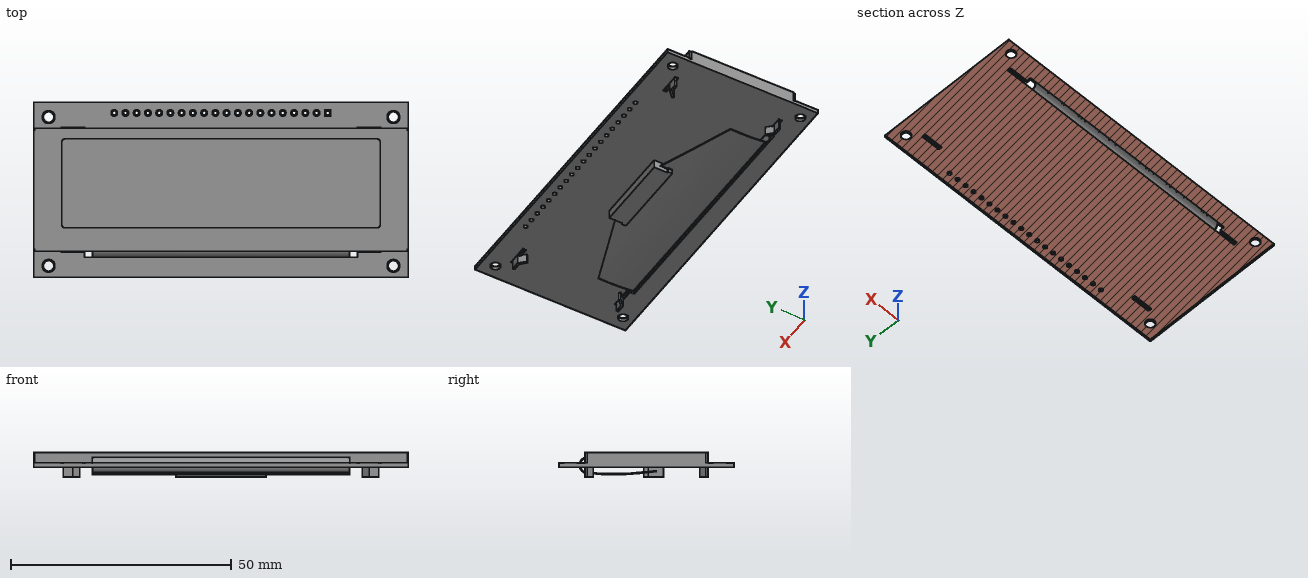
import cadquery as cq
import math


board_length = 85.0
board_width = 39.8
board_thickness = 1.0
pad_height = 0.03

mount_hole_diameter = 2.4
mount_pad_diameter = 2.9
mount_hole_x = 39.1
mount_hole_back_y = 16.5
mount_hole_front_y = -17.25

pin_count = 20
pin_pitch = 2.55
pin_row_y = 17.4
pin_hole_diameter = 0.9
pin_pad_size = 1.45

bezel_width = 28.0
bezel_height = 2.4
sheet = 0.5
corner_step = 0.25
window_length = 72.25
window_width = 20.2
window_center_y = 1.45
window_depth = 0.5
window_corner_radius = 0.85

tab_center_x = 33.6
tab_half_length = 2.2
tab_drop = 2.2
tab_twist = math.radians(45)
tab_slot_length = 5.3
tab_slot_clearance = 0.2

flex_width = 58.3
flex_thickness = 0.21
flex_root_z = 1.3
flex_fold_y = -15.2
flex_fold_z = -0.5
flex_return_z = -2.3
flex_sag_z = -2.6
flex_sag_start_y = -10.2
flex_taper_start_y = -4.8
flex_tip_y = 2.3
flex_tip_z = -1.95
flex_tip_width = 18.7
flex_slot_front_y = -15.3

connector_length = 20.5
connector_front_y = -0.7
connector_step_y = 0.4
connector_back_y = 3.9
connector_step_inset = 0.3

wall_y = bezel_width / 2
board_bottom_z = -board_thickness
bottom_z = board_bottom_z - tab_drop
tab_slot_width = sheet + 2 * tab_slot_clearance
tab_slot_y = wall_y - sheet / 2
flex_slot_length = 2 * tab_center_x - tab_slot_length


def block(x_range, y_range, z_range):
    """Rectangular block between the given limits."""
    (x0, x1), (y0, y1), (z0, z1) = x_range, y_range, z_range
    return cq.Workplane("XY").box(x1 - x0, y1 - y0, z1 - z0, centered=False).translate((x0, y0, z0))


def drill(points, diameter):
    """Cutters for holes through the board and its pads."""
    cutter = cq.Workplane("XY", origin=(0, 0, board_bottom_z)).pushPoints(points)
    return cutter.circle(diameter / 2).extrude(board_thickness + pad_height)


def make_slots():
    """Four tab slots, and the cable slot that joins the two front ones."""
    tab_slots = (
        cq.Workplane("XY", origin=(0, 0, board_bottom_z))
        .rect(2 * tab_center_x, 2 * tab_slot_y, forConstruction=True)
        .vertices()
        .rect(tab_slot_length, tab_slot_width)
        .extrude(board_thickness)
    )
    half_length = flex_slot_length / 2
    slot_y = (flex_slot_front_y, tab_slot_width / 2 - tab_slot_y)
    cable_slot = block((-half_length, half_length), slot_y, (board_bottom_z, 0))
    return tab_slots.union(cable_slot)


def make_board():
    """Board with pads, mounting holes, a pin row and slots; the last pin's pad is square."""
    mount_points = [(x, y) for x in (-mount_hole_x, mount_hole_x)
                    for y in (mount_hole_front_y, mount_hole_back_y)]
    first_pin_x = -pin_pitch * (pin_count - 1) / 2
    pin_points = [(first_pin_x + i * pin_pitch, pin_row_y) for i in range(pin_count)]

    board = cq.Workplane("XY").rect(board_length, board_width).extrude(-board_thickness)
    mount_pads = cq.Workplane("XY").pushPoints(mount_points).circle(mount_pad_diameter / 2)
    round_pads = cq.Workplane("XY").pushPoints(pin_points[:-1]).circle(pin_pad_size / 2)
    square_pad = cq.Workplane("XY").pushPoints(pin_points[-1:]).rect(pin_pad_size, pin_pad_size)
    for pads in (mount_pads, round_pads, square_pad):
        board = board.union(pads.extrude(pad_height))

    board = board.cut(drill(mount_points, mount_hole_diameter))
    board = board.cut(drill(pin_points, pin_hole_diameter))
    return board.cut(make_slots())


def make_tab():
    """Back right tab: straight through the board, inner half twisted below it."""
    inner_y = wall_y - sheet
    end_x = tab_center_x + tab_half_length
    straight = block((tab_center_x - tab_half_length, end_x), (inner_y, wall_y), (board_bottom_z, 0))

    cos_twist = math.cos(tab_twist)
    sin_twist = math.sin(tab_twist)
    tip_x = tab_center_x - tab_half_length * cos_twist
    tip_y = wall_y - tab_half_length * sin_twist
    twisted = (
        cq.Workplane("XY", origin=(0, 0, bottom_z))
        .moveTo(end_x, wall_y)
        .lineTo(tab_center_x, wall_y)
        .lineTo(tip_x, tip_y)
        .lineTo(tip_x + sheet * sin_twist, tip_y - sheet * cos_twist)
        .lineTo(tab_center_x + sheet * math.tan(tab_twist / 2), inner_y)
        .lineTo(end_x, inner_y)
        .close()
        .extrude(tab_drop)
    )
    return straight.union(twisted)


def make_bezel():
    """Bezel with stepped corners, a shallow display window and four tabs."""
    long_walls = cq.Workplane("XY").rect(board_length - 2 * corner_step, bezel_width)
    end_walls = cq.Workplane("XY").rect(board_length, bezel_width - 2 * sheet)
    bezel = long_walls.extrude(bezel_height).union(end_walls.extrude(bezel_height))

    window = (
        cq.Workplane("XY", origin=(0, window_center_y, bezel_height - window_depth))
        .rect(window_length, window_width)
        .extrude(window_depth)
        .edges("|Z")
        .fillet(window_corner_radius)
    )
    bezel = bezel.cut(window)

    back_right_tab = make_tab()
    back_left_tab = back_right_tab.mirror("YZ")
    for tab in (back_right_tab, back_left_tab):
        bezel = bezel.union(tab).union(tab.mirror("XZ"))
    return bezel


def make_flex():
    """Cable folded around the board edge, its tail tapering toward the connector."""
    root_y = -wall_y
    outer_tail = [
        (root_y, flex_return_z),
        (flex_sag_start_y, flex_sag_z),
        (flex_taper_start_y, flex_sag_z),
        (flex_tip_y, flex_tip_z),
    ]
    inner_tail = [(y, z + flex_thickness) for y, z in reversed(outer_tail)]
    strip = (
        cq.Workplane("YZ")
        .moveTo(root_y, flex_root_z)
        .threePointArc((flex_fold_y, flex_fold_z), outer_tail[0])
        .spline(outer_tail[1:], includeCurrent=True)
        .lineTo(*inner_tail[0])
        .spline(inner_tail[1:], includeCurrent=True)
        .threePointArc(
            (flex_fold_y + flex_thickness, flex_fold_z),
            (root_y, flex_root_z - flex_thickness),
        )
        .close()
        .extrude(flex_width / 2, both=True)
    )
    plan = (
        cq.Workplane("XY", origin=(0, 0, bottom_z))
        .moveTo(-flex_width / 2, flex_slot_front_y)
        .lineTo(flex_width / 2, flex_slot_front_y)
        .lineTo(flex_width / 2, flex_taper_start_y)
        .lineTo(flex_tip_width / 2, flex_tip_y)
        .lineTo(-flex_tip_width / 2, flex_tip_y)
        .lineTo(-flex_width / 2, flex_taper_start_y)
        .close()
        .extrude(bezel_height - bottom_z)
    )
    return strip.intersect(plan)


def make_connector(cable):
    """Wide front jaw and narrower rear housing, with a socket that fits the cable."""
    jaw_x = connector_length / 2
    rear_x = jaw_x - connector_step_inset
    height = (bottom_z, board_bottom_z)
    jaw = block((-jaw_x, jaw_x), (connector_front_y, connector_step_y), height)
    rear = block((-rear_x, rear_x), (connector_step_y, connector_back_y), height)
    return jaw.union(rear).cut(cable)


module = make_board().union(make_bezel())
flex = make_flex()
connector = make_connector(flex)

result = cq.Compound.makeCompound([
    module.solids().val(),
    flex.solids().val(),
    connector.solids().val(),
])